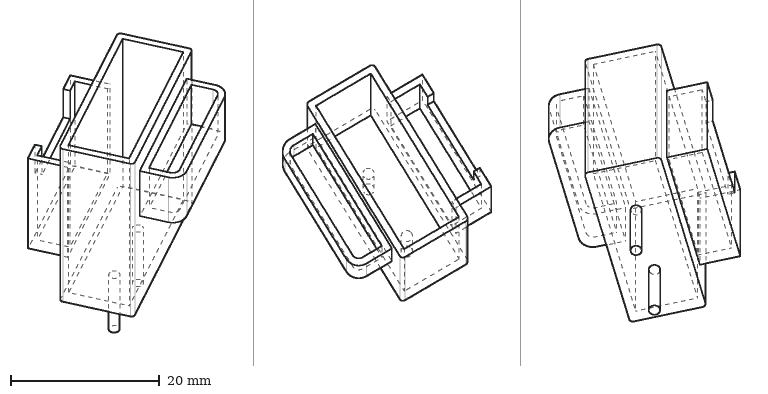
import cadquery as cq

wall = 1.0
housing_x = 10.6
housing_y = 25.0
housing_z = 27.2
housing_corner_radius = 0.5

tray_x = 5.6
tray_y = 18.0
tray_z = 16.0
tray_drop = 6.25
notch_y = 12.0
notch_depth = 5.0

cup_x = 6.0
cup_y = 20.0
cup_z = 8.0
cup_drop = 3.2
cup_corner_radius = 2 * wall

pin_diameter = 1.5
pin_length = 36.9 - housing_z
pin_spacing = 10.0

half_housing_x = housing_x / 2
tray_top = housing_z - tray_drop
tray_outer_x = -half_housing_x - tray_x
cup_top = housing_z - cup_drop


def block(x_start, length_x, width_y, top, height):
    """Box symmetric about Y = 0, starting at x_start and hanging down from top."""
    return (
        cq.Workplane("XY", origin=(x_start, 0, top - height))
        .box(length_x, width_y, height, centered=(False, True, False))
    )


def make_housing():
    outer = block(-half_housing_x, housing_x, housing_y, housing_z, housing_z)
    outer = outer.edges("|Z").fillet(housing_corner_radius)
    cavity = block(
        -half_housing_x + wall, housing_x - 2 * wall, housing_y - 2 * wall, housing_z, housing_z - wall
    )
    return outer.cut(cavity)


def make_tray():
    outer = block(tray_outer_x, tray_x, tray_y, tray_top, tray_z)
    cavity = block(tray_outer_x + wall, tray_x - wall, tray_y - 2 * wall, tray_top, tray_z - wall)
    notch = block(tray_outer_x, wall, notch_y, tray_top, notch_depth)
    return outer.cut(cavity).cut(notch)


def make_cup():
    outer = block(half_housing_x, cup_x, cup_y, cup_top, cup_z)
    outer = outer.edges("|Z and >X").fillet(cup_corner_radius)
    cavity = block(half_housing_x + wall, cup_x - 2 * wall, cup_y - 2 * wall, cup_top, cup_z - wall)
    cavity = cavity.edges("|Z and >X").fillet(cup_corner_radius - wall)
    return outer.cut(cavity)


def make_pins():
    pin_centres = [(0, -pin_spacing / 2), (0, pin_spacing / 2)]
    return cq.Workplane("XY").pushPoints(pin_centres).circle(pin_diameter / 2).extrude(-pin_length)


result = make_housing().union(make_tray()).union(make_cup()).union(make_pins())